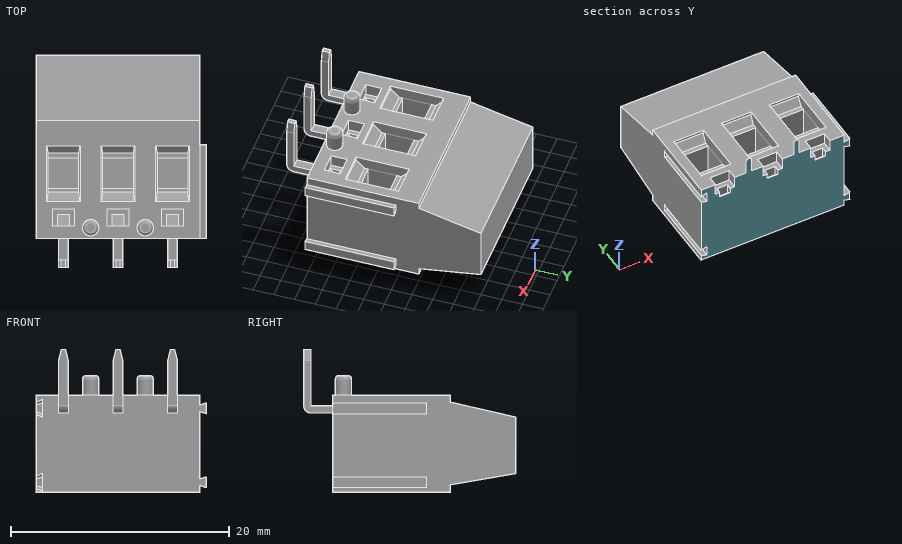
import cadquery as cq


POLE_COUNT = 3
PITCH = 5.0
POLE_X = [PITCH * (index + 0.5) for index in range(POLE_COUNT)]

WIDTH = POLE_COUNT * PITCH
HEIGHT = 8.9
LENGTH = 16.8
STEP_Y = 10.8
TOP_STEP = 0.62
BOTTOM_STEP = 0.68
REAR_TOP_Z = 6.9
REAR_BOTTOM_Z = 1.72

MOUTH_WIDTH = 3.1
MOUTH_Y = (3.38, 8.5)
MOUTH_DEPTH = 0.3
WELL_WIDTH = 2.8
FUNNEL_END_Y = (4.26, 7.82)
LEDGE_DEPTH = 1.0
WELL_Y = (4.6, 7.38)
WELL_DEPTH = 6.0

PROBE_WIDTH = 2.0
PROBE_Y = (1.17, 2.7)
PROBE_DEPTH = 1.2
NOTCH_WIDTH = 1.1
NOTCH_LENGTH = 1.05

PEG_DIAMETER = 1.5
PEG_HEIGHT = 1.8
PEG_Y = 1.0
PEG_FILLET = 0.3

PIN_WIDTH = 0.9
PIN_THICKNESS = 0.7
PIN_REACH = 2.65
PIN_LEG_TOP_Z = HEIGHT - 0.95
PIN_TOP_Z = 13.1
PIN_TIP_WIDTH = 0.4
PIN_TIP_LENGTH = 1.0

DOVETAIL_Z = (0.93, HEIGHT - 1.2)
DOVETAIL_DEPTH = 0.6
DOVETAIL_LENGTH = 8.6
DOVETAIL_NECK = 0.64
DOVETAIL_BASE = 1.0
FLARE_NECK = 1.16
FLARE_BASE = 1.6
FLARE_LENGTH = 0.87


def span_box(x_center, width, y_span, z_bottom, z_top):
    """Box centred in X, running between the two given Y values."""
    y_start, y_end = y_span
    return cq.Workplane("XY").box(
        width, y_end - y_start, z_top - z_bottom, centered=False
    ).translate((x_center - width / 2, y_start, z_bottom))


def make_housing():
    """Block with a stepped, tapered rear."""
    profile = [
        (0, 0),
        (STEP_Y, 0),
        (STEP_Y, BOTTOM_STEP),
        (LENGTH, REAR_BOTTOM_Z),
        (LENGTH, REAR_TOP_Z),
        (STEP_Y, HEIGHT - TOP_STEP),
        (STEP_Y, HEIGHT),
        (0, HEIGHT),
    ]
    return cq.Workplane("YZ").polyline(profile).close().extrude(WIDTH)


def make_wire_opening(x_center):
    """Mouth, funnel and well of one wire opening."""
    mouth_bottom = HEIGHT - MOUTH_DEPTH
    ledge_z = HEIGHT - LEDGE_DEPTH
    floor_z = HEIGHT - WELL_DEPTH
    side_profile = (
        cq.Workplane("YZ", origin=(x_center, 0, 0))
        .polyline([
            (MOUTH_Y[0], HEIGHT),
            (MOUTH_Y[0], mouth_bottom),
            (FUNNEL_END_Y[0], ledge_z),
            (FUNNEL_END_Y[1], ledge_z),
            (MOUTH_Y[1], mouth_bottom),
            (MOUTH_Y[1], HEIGHT),
        ])
        .close()
        .extrude(MOUTH_WIDTH / 2, both=True)
    )
    front_outline = (
        cq.Workplane("XZ", origin=(x_center, 0, 0))
        .polyline([
            (-MOUTH_WIDTH / 2, HEIGHT),
            (-WELL_WIDTH / 2, ledge_z),
            (WELL_WIDTH / 2, ledge_z),
            (MOUTH_WIDTH / 2, HEIGHT),
        ])
        .close()
        .extrude(-LENGTH)
    )
    well = span_box(x_center, WELL_WIDTH, WELL_Y, floor_z, ledge_z)
    return side_profile.intersect(front_outline).union(well)


def make_probe_pocket(x_center):
    """Rectangular pocket whose floor notch slopes down at 45 degrees toward +Y."""
    floor_z = HEIGHT - PROBE_DEPTH
    front_y = PROBE_Y[0]
    notch_end_y = front_y + NOTCH_LENGTH
    pocket = span_box(x_center, PROBE_WIDTH, PROBE_Y, floor_z, HEIGHT)
    notch = (
        cq.Workplane("YZ", origin=(x_center, 0, 0))
        .moveTo(front_y, floor_z)
        .lineTo(notch_end_y, floor_z)
        .lineTo(notch_end_y, floor_z - NOTCH_LENGTH)
        .close()
        .extrude(NOTCH_WIDTH / 2, both=True)
    )
    return pocket.union(notch)


def make_peg(x_center):
    """Locating peg with a rounded end."""
    return (
        cq.Workplane("XY", origin=(x_center, PEG_Y, HEIGHT))
        .circle(PEG_DIAMETER / 2)
        .extrude(PEG_HEIGHT)
        .faces(">Z")
        .edges()
        .fillet(PEG_FILLET)
    )


def make_pin(x_center):
    """L-shaped pin with a rounded outer bend and a tapered tip."""
    leg_bottom_z = PIN_LEG_TOP_Z - PIN_THICKNESS
    inner_y = PIN_THICKNESS - PIN_REACH
    side_profile = (
        cq.Workplane("YZ", origin=(x_center, 0, 0))
        .moveTo(0, PIN_LEG_TOP_Z)
        .lineTo(inner_y, PIN_LEG_TOP_Z)
        .lineTo(inner_y, PIN_TOP_Z)
        .lineTo(-PIN_REACH, PIN_TOP_Z)
        .lineTo(-PIN_REACH, PIN_LEG_TOP_Z)
        .radiusArc((inner_y, leg_bottom_z), -PIN_THICKNESS)
        .lineTo(0, leg_bottom_z)
        .close()
        .extrude(PIN_WIDTH / 2, both=True)
    )
    shoulder_z = PIN_TOP_Z - PIN_TIP_LENGTH
    front_outline = (
        cq.Workplane("XZ", origin=(x_center, 0, 0))
        .polyline([
            (-PIN_WIDTH / 2, leg_bottom_z),
            (PIN_WIDTH / 2, leg_bottom_z),
            (PIN_WIDTH / 2, shoulder_z),
            (PIN_TIP_WIDTH / 2, PIN_TOP_Z),
            (-PIN_TIP_WIDTH / 2, PIN_TOP_Z),
            (-PIN_WIDTH / 2, shoulder_z),
        ])
        .close()
        .extrude(PIN_REACH)
    )
    return side_profile.intersect(front_outline)


def dovetail_points(x_neck, z_center, neck, base):
    """Dovetail section that widens in +X from its neck."""
    x_base = x_neck + DOVETAIL_DEPTH
    return [
        (x_neck, z_center - neck / 2),
        (x_base, z_center - base / 2),
        (x_base, z_center + base / 2),
        (x_neck, z_center + neck / 2),
    ]


def make_dovetail(x_neck, z_center):
    """Straight dovetail bar starting at the solder face."""
    points = dovetail_points(x_neck, z_center, DOVETAIL_NECK, DOVETAIL_BASE)
    return cq.Workplane("XZ").polyline(points).close().extrude(-DOVETAIL_LENGTH)


def make_groove(z_center):
    """Dovetail groove in the -X side with a flared entry at the solder face."""
    return make_dovetail(0, z_center).union(
        cq.Workplane("XZ")
        .polyline(dovetail_points(0, z_center, FLARE_NECK, FLARE_BASE))
        .close()
        .workplane(offset=-FLARE_LENGTH)
        .polyline(dovetail_points(0, z_center, DOVETAIL_NECK, DOVETAIL_BASE))
        .close()
        .loft(ruled=True)
    )


result = make_housing()

for pole_x in POLE_X:
    result = result.cut(make_wire_opening(pole_x))
    result = result.cut(make_probe_pocket(pole_x))
    result = result.union(make_pin(pole_x))

for pole_x in POLE_X[:-1]:
    result = result.union(make_peg(pole_x + PITCH / 2))

for dovetail_z in DOVETAIL_Z:
    result = result.union(make_dovetail(WIDTH, dovetail_z))
    result = result.cut(make_groove(dovetail_z))